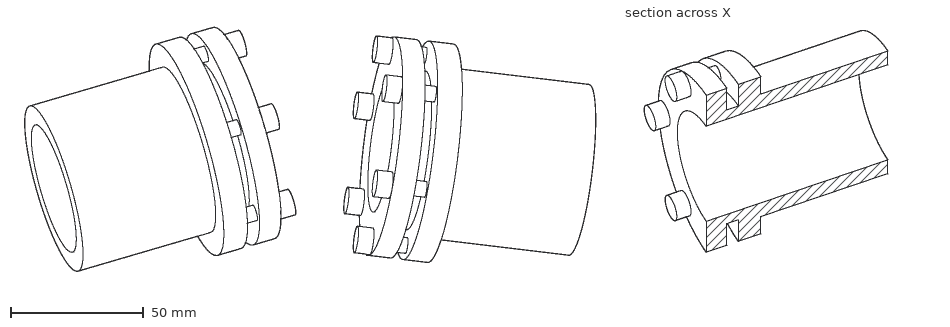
import cadquery as cq

flange_diameter = 83.0
tube_diameter = 64.9
bore_diameter = 50.0
neck_diameter = 60.25

tube_length = 53.1
flange_thickness = 9.5
gap_width = 4.8
ring_thickness = 8.6
head_height = 6.0

bolt_count = 6
bolt_circle_radius = 36.3
shank_diameter = 6.0
head_diameter = 10.1

flange_start = tube_length
gap_start = flange_start + flange_thickness
ring_start = gap_start + gap_width
head_start = ring_start + ring_thickness


def disc(diameter, start, length):
    """Cylinder on the main axis, running toward +Y from the given station."""
    return cq.Workplane("XZ", origin=(0, start, 0)).circle(diameter / 2).extrude(-length)


def bolt_row(diameter, start, length):
    """Equal cylinders spread around the bolt circle."""
    return (
        cq.Workplane("XZ", origin=(0, start, 0))
        .polarArray(bolt_circle_radius, 0, 360, bolt_count)
        .circle(diameter / 2)
        .extrude(-length)
    )


tube = disc(tube_diameter, 0, tube_length)
flange = disc(flange_diameter, flange_start, flange_thickness)
neck = disc(neck_diameter, gap_start, gap_width)
ring = disc(flange_diameter, ring_start, ring_thickness)
bore = disc(bore_diameter, 0, head_start)

shanks = bolt_row(shank_diameter, gap_start, gap_width)
heads = bolt_row(head_diameter, head_start, head_height)

body = tube.union(flange).union(neck).union(ring).cut(bore)
result = body.union(shanks).union(heads)